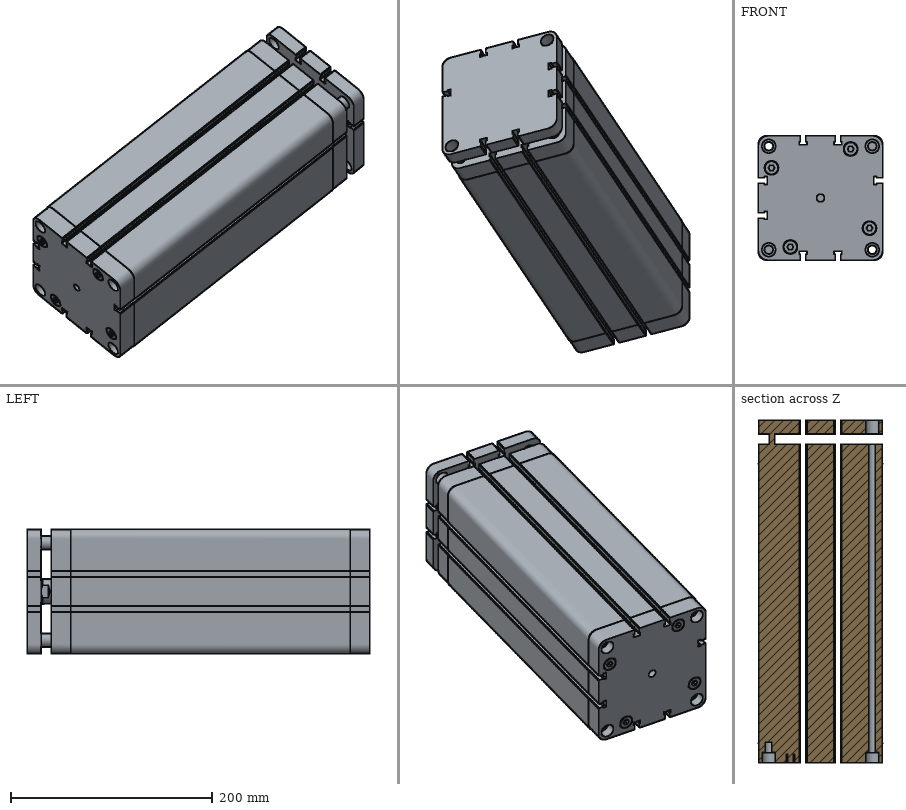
import cadquery as cq

side = 124.0
total_length = 340.5
half = side / 2
corner_radius = 9.2
cover_inset = 0.5

plate_thickness = 14.0
rod_gap = 10.0
body_length = total_length - rod_gap - plate_thickness
front_y = -total_length / 2
body_back_y = front_y + body_length
plate_front_y = body_back_y + rod_gap
cover_length = 19.5

slot_offset = 17.5
slot_mouth = 5.0
slot_mouth_chamfer = 0.7
slot_depth = 9.0
slot_foot_width = 7.5
slot_foot_height = 3.0

slot_pair = (-slot_offset, slot_offset)
slot_layout = {0: slot_pair, 180: slot_pair, -90: slot_pair, 90: (-slot_offset,)}

mount_offset = 51.5
mount_bore_diameter = 13.5
mount_bore_depth = 10.2
mount_hole_diameter = 8.5
blind_mount_depth = 20.5

screw_near = 30.0
screw_far = 48.7
screw_hole_diameter = 14.0
screw_head_diameter = 13.0
screw_head_height = 8.5
socket_across_corners = 6.0
socket_depth = 4.0

port_diameter = 8.0
port_depth = 10.2

guide_offset = 48.5
guide_diameter = 13.5
piston_diameter = 25.0
piston_chamfer = 1.5
flat_half_width = 11.0
flat_length = 6.8


def at_y(y):
    """Workplane facing -Y at the given station; local axes are X and Z."""
    return cq.Workplane("XZ", origin=(0, y, 0))


def cylinder(x, z, diameter, y_start, y_end):
    """Cylinder along +Y from y_start to y_end."""
    return at_y(y_start).center(x, z).circle(diameter / 2).extrude(y_start - y_end)


def slot_cutter(y_start, y_end, face, offset, turn):
    """T-slot with a chamfered mouth, sunk from a top face at the given height, then turned about Y."""
    length = y_start - y_end
    floor = face - slot_depth
    flare = slot_mouth / 2 + slot_mouth_chamfer
    mouth = (
        at_y(y_start)
        .moveTo(offset - slot_mouth / 2, floor)
        .lineTo(offset - slot_mouth / 2, face - slot_mouth_chamfer)
        .lineTo(offset - flare, face)
        .lineTo(offset + flare, face)
        .lineTo(offset + slot_mouth / 2, face - slot_mouth_chamfer)
        .lineTo(offset + slot_mouth / 2, floor)
        .close()
        .extrude(length)
    )
    foot = at_y(y_start).center(offset, floor + slot_foot_height / 2)
    foot = foot.rect(slot_foot_width, slot_foot_height).extrude(length)
    return mouth.union(foot).rotate((0, 0, 0), (0, 1, 0), turn)


def slotted_block(y_start, y_end, inset=0):
    """Square bar segment with rounded long edges and sensor slots, set in by the given amount."""
    face = half - inset
    block = at_y(y_start).rect(2 * face, 2 * face).extrude(y_start - y_end)
    block = block.edges("|Y").fillet(corner_radius)
    for turn, offsets in slot_layout.items():
        for offset in offsets:
            block = block.cut(slot_cutter(y_start, y_end, face, offset, turn))
    return block


def piston_rod():
    """Piston rod with two wrench flats that run out at 45 degrees toward the body."""
    rod = cylinder(0, 0, piston_diameter, body_back_y, plate_front_y)
    rod = rod.faces(">Y").chamfer(piston_chamfer)
    runout_y = plate_front_y - flat_length
    reach = rod_gap
    flat = (
        cq.Workplane("XY")
        .moveTo(flat_half_width, plate_front_y)
        .lineTo(flat_half_width, runout_y)
        .lineTo(flat_half_width + reach, runout_y - reach)
        .lineTo(flat_half_width + reach, plate_front_y)
        .close()
        .extrude(half, both=True)
    )
    return rod.cut(flat).cut(flat.mirror("YZ"))


def cover_screw(x, z):
    """Screw head with a hexagon socket, set in its clearance hole."""
    head = cylinder(x, z, screw_head_diameter, front_y, front_y + screw_head_height)
    socket = at_y(front_y).center(x, z).polygon(6, socket_across_corners).extrude(-socket_depth)
    return head.cut(socket)


result = slotted_block(front_y + cover_length, body_back_y - cover_length)
result = result.union(slotted_block(front_y, front_y + cover_length, cover_inset))
result = result.union(slotted_block(body_back_y - cover_length, body_back_y, cover_inset))
result = result.union(slotted_block(plate_front_y, plate_front_y + plate_thickness, cover_inset))

for x_sign in (-1, 1):
    for z_sign in (-1, 1):
        x = x_sign * mount_offset
        z = z_sign * mount_offset
        result = result.cut(cylinder(x, z, mount_bore_diameter, front_y, front_y + mount_bore_depth))
        if x_sign != z_sign:
            result = result.cut(cylinder(x, z, mount_hole_diameter, front_y, body_back_y))
            result = result.cut(
                cylinder(x, z, mount_bore_diameter, plate_front_y, plate_front_y + plate_thickness)
            )
        else:
            result = result.cut(cylinder(x, z, mount_hole_diameter, front_y, front_y + blind_mount_depth))

for sign in (-1, 1):
    result = result.union(
        cylinder(sign * guide_offset, sign * guide_offset, guide_diameter, body_back_y, plate_front_y)
    )
result = result.union(piston_rod())

for x, z in (
    (screw_near, screw_far),
    (screw_far, -screw_near),
    (-screw_near, -screw_far),
    (-screw_far, screw_near),
):
    result = result.cut(cylinder(x, z, screw_hole_diameter, front_y, front_y + screw_head_height))
    result = result.union(cover_screw(x, z))

result = result.cut(cylinder(0, 0, port_diameter, front_y, front_y + port_depth))